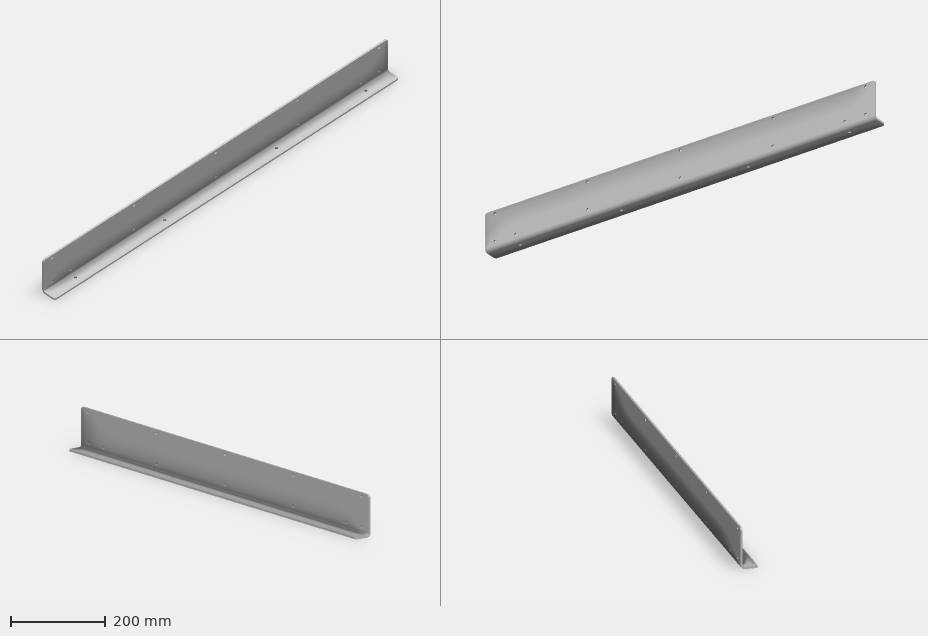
import cadquery as cq

LENGTH = 1016.0
FLANGE_WIDTH = 38.1
WEB_HEIGHT = 92.08
THICKNESS = 4.55

INNER_BEND_RADIUS = 4.5
OUTER_BEND_RADIUS = INNER_BEND_RADIUS + THICKNESS
CORNER_RADIUS = 6.35

HOLE_DIAMETER = 6.73
WEB_HOLE_PITCH = 241.3
WEB_HOLE_PITCHES_FROM_CENTRE = 2
WEB_TOP_EDGE_TO_HOLES = 7.94
WEB_TOP_ROW_Z = WEB_HEIGHT - WEB_TOP_EDGE_TO_HOLES
WEB_ROW_SPACING = 66.68
WEB_BOTTOM_ROW_Z = WEB_TOP_ROW_Z - WEB_ROW_SPACING
FLANGE_HOLE_X = FLANGE_WIDTH / 2
OUTER_HOLE_Y = 428.63
INNER_HOLE_Y = 165.1


def bent_angle():
    """L-shaped plate along Y: upright web on the YZ plane, flange on the XY plane."""
    profile = (
        cq.Workplane("XZ")
        .moveTo(0, WEB_HEIGHT)
        .lineTo(0, OUTER_BEND_RADIUS)
        .radiusArc((OUTER_BEND_RADIUS, 0), -OUTER_BEND_RADIUS)
        .lineTo(FLANGE_WIDTH, 0)
        .lineTo(FLANGE_WIDTH, THICKNESS)
        .lineTo(OUTER_BEND_RADIUS, THICKNESS)
        .radiusArc((THICKNESS, OUTER_BEND_RADIUS), INNER_BEND_RADIUS)
        .lineTo(THICKNESS, WEB_HEIGHT)
        .close()
    )
    return profile.extrude(LENGTH / 2, both=True)


def round_free_corners(body):
    """Round the two top corners of the web and the two outer corners of the flange."""
    body = body.faces(">Z").edges("|X").fillet(CORNER_RADIUS)
    return body.faces(">X").edges("|Z").fillet(CORNER_RADIUS)


def web_holes():
    """Cutters along X: two rows at an even pitch, plus one extra hole near each end of the lower row."""
    pitch_steps = range(-WEB_HOLE_PITCHES_FROM_CENTRE, WEB_HOLE_PITCHES_FROM_CENTRE + 1)
    points = []
    for row_z in (WEB_TOP_ROW_Z, WEB_BOTTOM_ROW_Z):
        for step in pitch_steps:
            points.append((step * WEB_HOLE_PITCH, row_z))
    for side in (-1, 1):
        points.append((side * OUTER_HOLE_Y, WEB_BOTTOM_ROW_Z))
    return cq.Workplane("YZ").pushPoints(points).circle(HOLE_DIAMETER / 2).extrude(THICKNESS)


def flange_holes():
    """Cutters along Z: four holes on the centreline of the flange width."""
    points = []
    for side in (-1, 1):
        for hole_y in (INNER_HOLE_Y, OUTER_HOLE_Y):
            points.append((FLANGE_HOLE_X, side * hole_y))
    return cq.Workplane("XY").pushPoints(points).circle(HOLE_DIAMETER / 2).extrude(THICKNESS)


result = round_free_corners(bent_angle()).cut(web_holes()).cut(flange_holes())